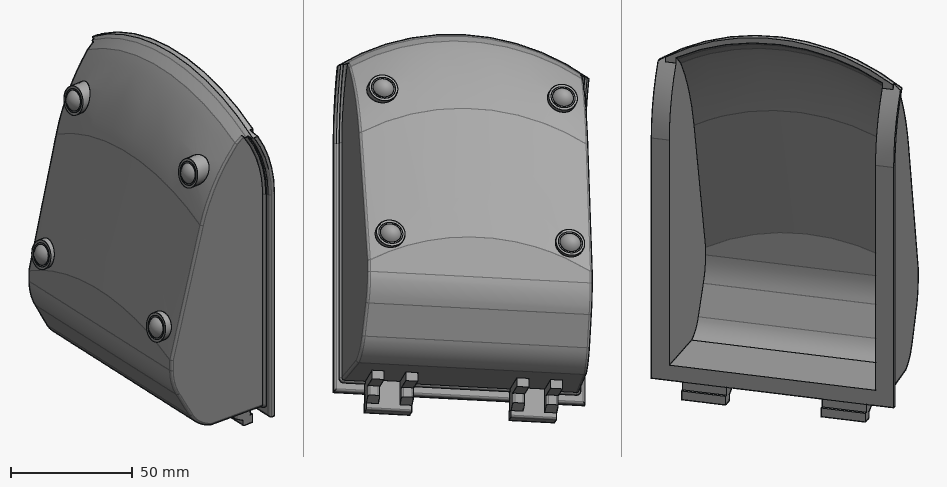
import cadquery as cq
import math


top_z = 161.7
arch_drop = 16.2
flange_width = 105.0
flange_half_width = flange_width / 2
arch_radius = (flange_half_width**2 + arch_drop**2) / (2 * arch_drop)
wall = 2.5
cavity_half_width = 44.6
front_depth = 50.1
floor_z = 12.8
edge_round = 1.1
reach = 32.3
base_z = -129.4

rear_half_width = 49.8
front_half_width = 46.9

back_bend_z = 114.8
lip_depth = 8.9
lip_z = 145.5
bend_rise = lip_z - back_bend_z
bend_radius = (bend_rise**2 + lip_depth**2) / (2 * lip_depth)
bend_angle = math.radians(40)

flange_bottom_z = 8.4
flange_thickness = 2.6
ridge_half_width = 50.5
ridge_depth = 4.0
ridge_bottom_z = 12.0
ridge_corner = 2.0
flange_round = 1.0

panel_foot = (front_depth, 63.0)
panel_bend = (35.0, 122.9)
panel_head = (17.5, 157.0)
bevel_head = (13.3, 160.5)
lip_front_depth = 11.5
panel_slope = (panel_foot[0] - panel_bend[0]) / (panel_bend[1] - panel_foot[1])
panel_tilt = math.atan(panel_slope)
bend_steps = 6

belly_top = (front_depth, 46.0)
belly_upper = (46.9, 33.3)
belly_lower = (40.3, 21.0)
belly_end = (29.6, floor_z)

boss_diameter = 12.0
boss_length = 9.7
boss_x = 37.5
boss_faces = [(33.6, 130.2), (50.6, 62.8)]
cap_diameter = 10.0
cap_recess = 2.5
dome_diameter = 8.7
dome_height = 2.6

latch_x = 30.2
latch_width = 19.1
latch_back = flange_thickness
plate_depth = 6.5
foot_z = 2.7
hook_depth = 1.3
hook_z = 3.9
knuckle_depth = 10.5
knuckle_z = 5.0
arm_depth = 20.0
arm_z = 9.0
arm_width = 5.0
arm_spacing = latch_width - arm_width
latch_round = 0.8


def side_points(points):
    """Turn (depth, height) pairs into points of the YZ plane."""
    return [(-depth, height) for depth, height in points]


def arch_section(depth, crown_z):
    """Upright outline with an arched top, at one depth."""
    half = flange_half_width
    side_z = crown_z - arch_drop
    return (
        cq.Workplane("XZ", origin=(0, -depth, 0))
        .moveTo(-half, base_z)
        .lineTo(-half, side_z)
        .threePointArc((0, crown_z), (half, side_z))
        .lineTo(half, base_z)
        .close()
        .wire()
        .val()
    )


def panel_bend_points():
    """Points along the arc that leads from the straight panel up to its head."""
    run = panel_bend[0] - panel_head[0]
    rise = panel_head[1] - panel_bend[1]
    chord_angle = math.atan(run / rise)
    half_turn = chord_angle - panel_tilt
    radius = math.hypot(run, rise) / (2 * math.sin(half_turn))
    points = []
    for step in range(bend_steps + 1):
        angle = panel_tilt + 2 * half_turn * (1 - step / bend_steps)
        depth = panel_bend[0] - radius * (math.cos(panel_tilt) - math.cos(angle))
        height = panel_bend[1] + radius * (math.sin(angle) - math.sin(panel_tilt))
        points.append((depth, height))
    return points


def make_panel_form():
    """Solid below the front panel: one arch carried along the panel outline without turning."""
    end_depth = front_depth + reach
    end_z = panel_foot[1] - (end_depth - panel_foot[0]) / panel_slope
    straight_runs = [
        [(-reach, top_z), (lip_front_depth, top_z)],
        [(lip_front_depth, top_z), bevel_head],
        [bevel_head, panel_head],
        [panel_bend, (end_depth, end_z)],
    ]
    form = loft_arches(panel_bend_points(), ruled=False)
    for run in straight_runs:
        form = form.union(loft_arches(run, ruled=True))
    return form


def loft_arches(points, ruled):
    sections = [arch_section(depth, height) for depth, height in points]
    return cq.Workplane(cq.Solid.makeLoft(sections, ruled))


def belly_form(inset, half_width):
    """Straight extrusion of the flat front, rounded belly and floor."""
    head_z = top_z + reach
    outline = (
        cq.Workplane("YZ")
        .moveTo(reach, head_z)
        .lineTo(-front_depth, head_z)
        .lineTo(-belly_top[0], belly_top[1])
        .tangentArcPoint((-belly_upper[0], belly_upper[1]), relative=False)
        .lineTo(-belly_lower[0], belly_lower[1])
        .tangentArcPoint((-belly_end[0], belly_end[1]), relative=False)
        .lineTo(reach, floor_z)
        .close()
    )
    if inset:
        outline = outline.offset2D(-inset)
    return outline.extrude(half_width, both=True)


def draft_limit():
    """Wedge that narrows the cover from back to front."""
    return (
        cq.Workplane("XY")
        .polyline([
            (-rear_half_width, 0),
            (rear_half_width, 0),
            (front_half_width, -front_depth),
            (-front_half_width, -front_depth),
        ])
        .close()
        .extrude(top_z)
    )


def bend_point(offset, angle):
    """Point on the bent back edge, moved forward by an offset."""
    radius = bend_radius - offset
    return (-bend_radius + radius * math.cos(angle), back_bend_z + radius * math.sin(angle))


def flange_strip(thickness, half_width, bottom_z):
    """Strip that follows the back edge with an even thickness."""
    return (
        cq.Workplane("YZ")
        .moveTo(0, bottom_z)
        .lineTo(0, back_bend_z)
        .threePointArc(bend_point(0, bend_angle / 2), bend_point(0, bend_angle))
        .lineTo(*bend_point(thickness, bend_angle))
        .threePointArc(bend_point(thickness, bend_angle / 2), (-thickness, back_bend_z))
        .lineTo(-thickness, bottom_z)
        .close()
        .extrude(half_width, both=True)
    )


def round_strip(strip, thickness, bottom_z):
    """Round the front outline of a flange strip along its sides and its bottom."""
    def on_front_outline(edge):
        point = edge.positionAt(0.5)
        if point.z > back_bend_z:
            radius = math.hypot(point.y + bend_radius, point.z - back_bend_z)
            offset = bend_radius - radius
        else:
            offset = -point.y
        on_front = math.isclose(offset, thickness, rel_tol=0.05)
        runs_across = math.isclose(abs(edge.tangentAt(0.5).x), 1)
        return on_front and (not runs_across or point.z < bottom_z + thickness)

    front_outline = strip.edges().filter(on_front_outline)
    return strip.newObject(front_outline.vals()).fillet(flange_round)


def back_clearance():
    """Space behind the bent back edge and the lip."""
    lip_angle = math.asin(bend_rise / bend_radius)
    return (
        cq.Workplane("YZ")
        .moveTo(0, back_bend_z)
        .threePointArc(bend_point(0, lip_angle / 2), (-lip_depth, lip_z))
        .lineTo(-lip_depth, top_z + reach)
        .lineTo(reach, top_z + reach)
        .lineTo(reach, back_bend_z)
        .close()
        .extrude(flange_half_width + reach, both=True)
    )


def boss_planes():
    """Tilted faces of the screw bosses, with their normals pointing outward."""
    normal = (0, -math.cos(panel_tilt), math.sin(panel_tilt))
    return [
        cq.Plane(origin=(side * boss_x, -depth, height), xDir=(1, 0, 0), normal=normal)
        for depth, height in boss_faces
        for side in (-1, 1)
    ]


def boss(plane):
    """Front-facing cylinder cut off parallel to the panel."""
    x, y, z = plane.origin.toTuple()
    cylinder = (
        cq.Workplane("XZ", origin=(x, y, z))
        .circle(boss_diameter / 2)
        .extrude(boss_length, both=True)
    )
    beyond = cq.Workplane(plane).circle(boss_diameter * 2).extrude(boss_length * 2)
    return cylinder.cut(beyond)


def cap_seat(plane):
    """Round recess in a boss face, and the part of a cap that fills it."""
    return cq.Workplane(plane).circle(cap_diameter / 2).extrude(-cap_recess)


def round_sides(shell):
    """Round the edges between the front faces and the drafted sides."""
    side_edges = shell.faces("<X or >X").edges()
    front_edges = side_edges.filter(lambda edge: edge.Center().y < -lip_front_depth)
    return shell.newObject(front_edges.vals()).fillet(edge_round)


def make_cover():
    """Hollow cover, open at the back, with its flange, bosses and cap seats."""
    panel = make_panel_form()
    shell = panel.intersect(belly_form(0, flange_half_width)).intersect(draft_limit())
    shell = round_sides(shell)

    rim = flange_strip(flange_thickness, flange_half_width, flange_bottom_z)
    rim = round_strip(rim, flange_thickness, flange_bottom_z)
    ridge = flange_strip(ridge_depth, ridge_half_width, ridge_bottom_z)
    ridge = ridge.edges("|Y and <Z").fillet(ridge_corner)
    ridge = round_strip(ridge, ridge_depth, ridge_bottom_z)
    cover = shell.union(rim.union(ridge).intersect(panel))

    planes = boss_planes()
    for plane in planes:
        cover = cover.union(boss(plane))

    cavity = panel.translate((0, wall, -wall)).intersect(belly_form(wall, cavity_half_width))
    cover = cover.cut(cavity).cut(back_clearance())
    for plane in planes:
        cover = cover.cut(cap_seat(plane))
    return cover


def make_cap(plane):
    """Round screw cap that fills its seat and ends in a dome."""
    return cap_seat(plane).union(dome(plane))


def dome(plane):
    radius = dome_diameter / 2
    sphere_radius = (radius**2 + dome_height**2) / (2 * dome_height)
    ball = cq.Workplane(plane).sphere(sphere_radius).translate(
        plane.zDir.multiply(dome_height - sphere_radius))
    outer = cq.Workplane(plane).circle(radius * 2).extrude(dome_height * 2)
    return ball.intersect(outer)


def is_knuckle_edge(edge):
    return math.isclose(edge.Center().y, -knuckle_depth)


def make_latch(center_x):
    """Latch with a hooked plate and two stepped arms."""
    latch_top = [
        (ridge_depth, floor_z),
        (ridge_depth, ridge_bottom_z),
        (latch_back, ridge_bottom_z),
    ]
    hooked_plate = (
        cq.Workplane("YZ", origin=(center_x, 0, 0))
        .polyline(side_points([
            (hook_depth, 0),
            (plate_depth, 0),
            (plate_depth, floor_z),
            *latch_top,
            (latch_back, hook_z),
            (hook_depth, hook_z),
        ]))
        .close()
        .extrude(latch_width / 2, both=True)
    )
    latch = hooked_plate.edges("|X").edges("<Y").edges("<Z").fillet(latch_round)
    for side in (-1, 1):
        arm = (
            cq.Workplane("YZ", origin=(center_x + side * arm_spacing / 2, 0, 0))
            .polyline(side_points([
                (latch_back, foot_z),
                (plate_depth, foot_z),
                (knuckle_depth, knuckle_z),
                (knuckle_depth, arm_z),
                (arm_depth, arm_z),
                (arm_depth, floor_z),
                *latch_top,
            ]))
            .close()
            .extrude(arm_width / 2, both=True)
        )
        knuckle_edges = arm.edges("|Z").filter(is_knuckle_edge)
        arm = arm.newObject(knuckle_edges.vals()).fillet(latch_round)
        latch = latch.union(arm)
    return latch


cover = make_cover()
caps = [make_cap(plane) for plane in boss_planes()]
latches = [make_latch(side * latch_x) for side in (-1, 1)]

result = cq.Compound.makeCompound([
    solid
    for body in [cover, *caps, *latches]
    for solid in body.solids().vals()
])